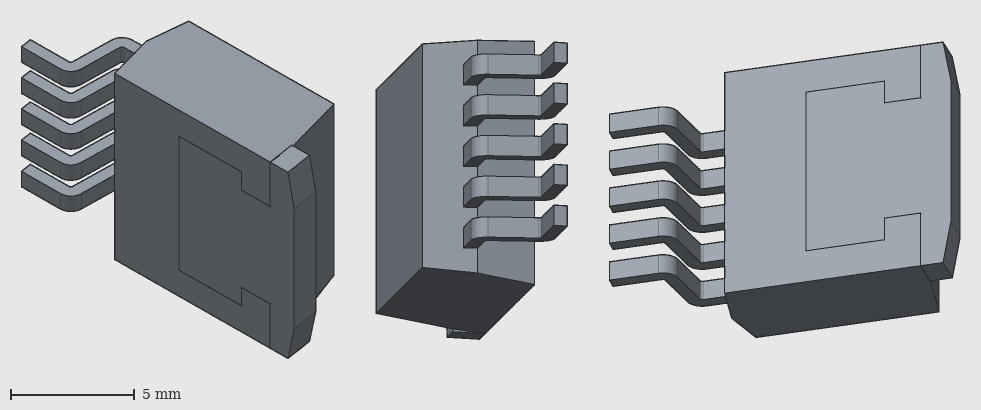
import cadquery as cq
import math


total_length = 14.35
width = 10.16

housing_height = 4.69
parting_height = 2.5
ridge_x = 4.38
end_draft = math.tan(math.radians(10))
side_draft = math.tan(math.radians(5))

slug_thickness = 1.35
tab_start_x = 13.07
tab_corner_length = 0.33
tab_corner_width = 1.81
pad_start_x = 8.24
pad_end_x = 11.55
pad_width = 7.3
neck_width = 5.31

lead_count = 5
lead_span = 6.8
lead_pitch = lead_span / (lead_count - 1)
lead_width = 0.85
lead_thickness = 0.56
lead_drop = 0.16
foot_length = 2.07
lean_angle = math.radians(10)
inner_bend = 0.1
outer_bend = inner_bend + lead_thickness


def draft_x(y):
    """X of the upper lead-side face of the housing at height y."""
    return ridge_x + (y - parting_height) * end_draft


def make_slug():
    """Flat plate with a chamfered tab, a neck and a wide pad."""
    tab_half = width / 2
    neck_half = neck_width / 2
    pad_half = pad_width / 2
    upper_half = [
        (total_length, tab_half - tab_corner_width),
        (total_length - tab_corner_length, tab_half),
        (tab_start_x, tab_half),
        (tab_start_x, neck_half),
        (pad_end_x, neck_half),
        (pad_end_x, pad_half),
        (pad_start_x, pad_half),
    ]
    lower_half = [(x, -z) for x, z in reversed(upper_half)]
    return cq.Workplane("XZ").polyline(upper_half + lower_half).close().extrude(-slug_thickness)


def make_housing(slug):
    """Drafted block, recessed for the slug in its mounting face."""
    tab_side_top_x = tab_start_x - (housing_height - slug_thickness) * end_draft
    profile = [
        (ridge_x + parting_height * end_draft, 0),
        (tab_start_x, 0),
        (tab_start_x, slug_thickness),
        (tab_side_top_x, housing_height),
        (draft_x(housing_height), housing_height),
        (ridge_x, parting_height),
    ]
    block = cq.Workplane("XY").polyline(profile).close().extrude(width / 2, both=True)

    base_half = width / 2
    back_half = base_half - housing_height * side_draft
    side_limits = (
        cq.Workplane("YZ")
        .polyline([
            (0, -base_half),
            (housing_height, -back_half),
            (housing_height, back_half),
            (0, base_half),
        ])
        .close()
        .extrude(total_length)
    )
    return block.intersect(side_limits).cut(slug)


def make_lead(z_center):
    """Bent strip from its foot to the housing face, with concentric inner and outer bends."""
    sole_y = -lead_drop
    foot_top_y = sole_y + lead_thickness
    arm_bottom_y = parting_height
    arm_top_y = arm_bottom_y + lead_thickness

    low_x = foot_length
    low_y = foot_top_y + inner_bend
    high_y = arm_bottom_y - inner_bend
    lean_run = (high_y - low_y) * math.sin(lean_angle)
    high_x = low_x + (inner_bend + outer_bend + lean_run) / math.cos(lean_angle)

    def low_arc(radius, angle):
        return (low_x + radius * math.cos(angle), low_y + radius * math.sin(angle))

    def high_arc(radius, angle):
        return (high_x - radius * math.cos(angle), high_y - radius * math.sin(angle))

    lean = -lean_angle
    level = -math.pi / 2
    middle = (lean + level) / 2

    profile = (
        cq.Workplane("XY", origin=(0, 0, z_center))
        .moveTo(0, sole_y)
        .lineTo(*low_arc(outer_bend, level))
        .threePointArc(low_arc(outer_bend, middle), low_arc(outer_bend, lean))
        .lineTo(*high_arc(inner_bend, lean))
        .threePointArc(high_arc(inner_bend, middle), high_arc(inner_bend, level))
        .lineTo(draft_x(arm_bottom_y), arm_bottom_y)
        .lineTo(draft_x(arm_top_y), arm_top_y)
        .lineTo(*high_arc(outer_bend, level))
        .threePointArc(high_arc(outer_bend, middle), high_arc(outer_bend, lean))
        .lineTo(*low_arc(inner_bend, lean))
        .threePointArc(low_arc(inner_bend, middle), low_arc(inner_bend, level))
        .lineTo(0, foot_top_y)
        .close()
    )
    return profile.extrude(lead_width / 2, both=True)


slug = make_slug()
housing = make_housing(slug)
leads = []
for index in range(lead_count):
    z_center = index * lead_pitch - lead_span / 2
    leads.append(make_lead(z_center))

result = cq.Compound.makeCompound([housing.val(), slug.val(), *[lead.val() for lead in leads]])